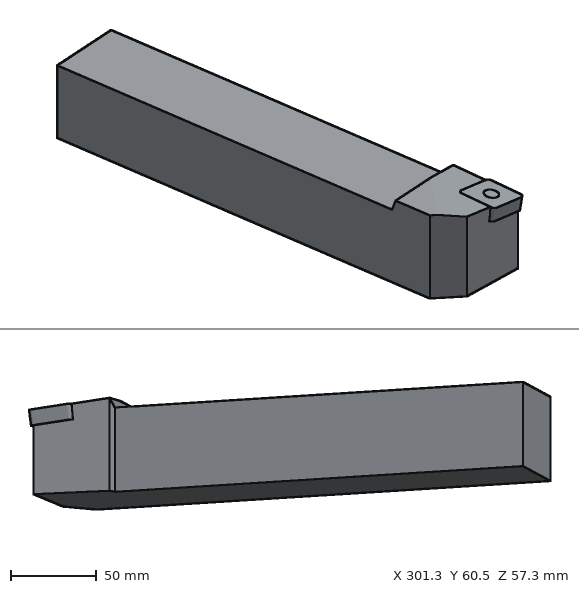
import cadquery as cq
import math

shank_size = 50.0

head_height = 57.3
head_back_x = 251.5
step_run = 2.7
head_shoulder = (253.2, 54.2)
head_corner = (295.0, 15.5)
relief_start_x = head_corner[0] - head_corner[1]
approach_angle = 5.0

ridge_sum = 286.5
slope_angle = 8.0

insert_circle_diameter = 25.3
nose_angle = 80.0
nose_radius = 2.5
insert_thickness = 9.3
pin_diameter = 9.0
insert_center = (287.8, 47.0)

slope_tangent = math.tan(math.radians(slope_angle))


def slope_height(x, y):
    """Height of the sloping top above a point of the base plane."""
    return head_height - slope_tangent * (x + y - ridge_sum) / math.sqrt(2)


def slope_plane(x, y):
    """Plane on the sloping top: local X runs downhill, local Z points outward."""
    diagonal = 1 / math.sqrt(2)
    return cq.Plane(
        origin=(x, y, slope_height(x, y)),
        xDir=(diagonal, diagonal, -slope_tangent),
        normal=(slope_tangent * diagonal, slope_tangent * diagonal, 1),
    )


def head_tip():
    """Corner where the two outer faces of the head meet."""
    lean = math.tan(math.radians(approach_angle))
    run = head_corner[0] - head_shoulder[0]
    rise = head_shoulder[1] - head_corner[1]
    x = head_shoulder[0] + (run + lean * rise) / (1 - lean**2)
    y = head_shoulder[1] + lean * (x - head_shoulder[0])
    return (x, y)


def make_insert_blank():
    """Solid rhombic plate with rounded corners, before the pin hole is cut."""
    half_angle = math.radians(nose_angle / 2)
    circle_radius = insert_circle_diameter / 2
    nose_reach = circle_radius / math.sin(half_angle)
    side_reach = circle_radius / math.cos(half_angle)
    return (
        cq.Workplane(slope_plane(*insert_center))
        .polyline([(nose_reach, 0), (0, side_reach), (-nose_reach, 0), (0, -side_reach)])
        .close()
        .extrude(-insert_thickness)
        .edges(cq.selectors.ParallelDirSelector(slope_plane(*insert_center).zDir))
        .fillet(nose_radius)
    )


def make_pin():
    """Round pin that fills the insert's hole and ends flush with its top."""
    return (
        cq.Workplane(slope_plane(*insert_center))
        .circle(pin_diameter / 2)
        .extrude(-insert_thickness)
    )


def make_insert():
    return make_insert_blank().cut(make_pin())


def make_head():
    outline = [
        (head_back_x, 0),
        (relief_start_x, 0),
        head_corner,
        head_tip(),
        head_shoulder,
        (head_back_x, shank_size),
    ]
    head = cq.Workplane("XY").polyline(outline).close().extrude(head_height)

    step_waste = (
        cq.Workplane("XZ")
        .polyline([
            (head_back_x, shank_size),
            (head_back_x + step_run, head_height),
            (head_back_x, head_height),
        ])
        .close()
        .extrude(-head_tip()[1])
    )

    waste_size = 2 * shank_size
    ridge_x = (ridge_sum + head_back_x) / 2
    slope_waste = (
        cq.Workplane(slope_plane(ridge_x, ridge_sum - ridge_x))
        .rect(2 * waste_size, 2 * waste_size)
        .extrude(head_height)
    )
    return head.cut(step_waste).cut(slope_waste)


def make_holder():
    shank = cq.Workplane("XY").box(head_back_x, shank_size, shank_size, centered=False)
    return shank.union(make_head()).cut(make_insert())


holder = make_holder()
insert = make_insert()
result = cq.Compound.makeCompound([holder.val(), insert.val()])